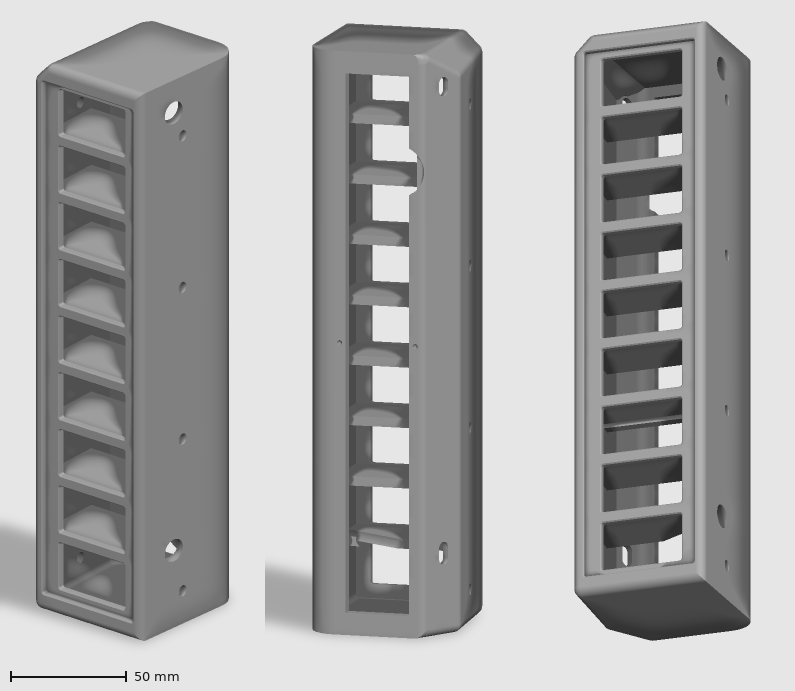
import cadquery as cq
import math

height = 256.0
depth = 67.3
right_x = 31.5
back_left_x = -21.2
knee_x = -32.5
knee_y = 14.3
front_left_x = -29.0
turn_angle = -0.9
edge_radius = 3.5
back_corner_radius = 12.8

wall = 4.9
slanted_wall = 3.0
inner_corner_radius = 6.0
floor_radius = 2.3

panel_center_x = 1.5
panel_thickness = 3.0
recess_width = 51.0
recess_height = 239.5
recess_depth = 3.0
rim_chamfer = 0.5
rim_corner_radius = 1.0
window_count = 9
window_span = 212.0
window_width = 37.0
window_height = 21.5
shelf_thickness = 4.0
shelf_end_y = 2.5

opening_width = 28.5
opening_center_x = -0.8
screw_diameter = 2.3
screw_spacing = 34.0
notch_radius = 11.3
notch_x = -10.2
notch_z = 76.5

side_hole_count = 4
side_hole_diameter = 5.0
side_hole_y = -5.5
side_hole_pitch = 71.0
side_hole_top_z = 100.0

slot_width = 5.5
upper_slot_z = 112.6
upper_slot_length = 8.5
lower_slot_z = -92.0
lower_slot_length = 10.0
slot_y = 23.0
driver_diameter = 10.2

front_y = -depth / 2
back_y = depth / 2
top_z = height / 2
bottom_z = -height / 2
panel_face_y = front_y + recess_depth
panel_back_y = panel_face_y + panel_thickness
window_pitch = window_span / (window_count - 1)
slant_length = math.hypot(back_left_x - knee_x, back_y - knee_y)
slant_dir_x = (back_left_x - knee_x) / slant_length
slant_dir_y = (back_y - knee_y) / slant_length
reach = 2 * depth
tolerance = 0.3


def sloped_prism(inset, slant_shift, corner_radius):
    """Housing prism shrunk by inset, with its 45 degree slope at the top left.

    slant_shift first moves the slanted rear-left wall outward, parallel to itself.
    """
    left_run_x = knee_x - front_left_x
    left_run_y = knee_y - front_y
    knee_travel = slant_shift / (slant_dir_x * left_run_y - slant_dir_y * left_run_x)
    outline = [
        (front_left_x, front_y),
        (right_x, front_y),
        (right_x, back_y),
        (back_left_x - slant_shift / slant_dir_y, back_y),
        (knee_x + knee_travel * left_run_x, knee_y + knee_travel * left_run_y),
    ]
    plan = cq.Workplane("XY", origin=(0, 0, bottom_z + inset)).polyline(outline).close()
    if inset > 0:
        plan = plan.offset2D(-inset, "intersection")
    prism = plan.extrude(height - 2 * inset)

    slope_z = top_z - inset * math.sqrt(2)
    above_slope = (
        cq.Workplane("XZ", origin=(0, reach, 0))
        .polyline([
            (back_left_x - reach, slope_z - reach),
            (back_left_x + reach, slope_z + reach),
            (back_left_x - reach, slope_z + reach),
        ])
        .close()
        .extrude(2 * reach)
    )
    prism = prism.cut(above_slope)
    return prism.edges("|Z").edges(">(1, 1, 0)").fillet(corner_radius)


def pick_edges(solid, wanted):
    """Edges of solid whose centre point passes the wanted test."""
    return solid.newObject([edge for edge in solid.edges().vals() if wanted(edge.Center())])


def is_rounded(center):
    """True for edges of the front and the left side, down to the rear-left upright edge."""
    on_front = center.y < front_y + tolerance
    on_left = center.x < back_left_x + tolerance
    across_bottom_or_top_of_back = center.y > back_y - tolerance and not on_left
    return on_front or (on_left and not across_bottom_or_top_of_back)


def outer_body():
    """Solid housing with its front and left edges rounded."""
    return pick_edges(sloped_prism(0, 0, back_corner_radius), is_rounded).fillet(edge_radius)


def inside_space():
    """Space behind the panel, with shelves reaching back from the bars between the windows."""
    space = sloped_prism(wall, wall - slanted_wall, inner_corner_radius)
    rear_left = space.edges("|Z").edges(">(-1, 1, 0)")
    space = rear_left.fillet(inner_corner_radius)
    space = space.faces("<Z").edges().fillet(floor_radius)

    panel_zone = cq.Workplane("XY").box(reach, reach, height)
    space = space.cut(panel_zone.translate((0, panel_back_y - reach / 2, 0)))

    shelf = cq.Workplane("XY").box(reach, reach, shelf_thickness)
    for i in range(window_count - 1):
        shelf_z = (i + 0.5) * window_pitch - window_span / 2
        space = space.cut(shelf.translate((0, shelf_end_y - reach / 2, shelf_z)))
    return space


def rounded_rectangle(width, tall, radius):
    return cq.Sketch().rect(width, tall).vertices().fillet(radius)


def rimmed_cut(width, tall, z, face_y, cut_depth):
    """Rectangular cut going back from face_y, with a chamfered rim and rounded corners."""
    hole = rounded_rectangle(width, tall, rim_corner_radius)
    rim = rounded_rectangle(
        width + 2 * rim_chamfer, tall + 2 * rim_chamfer, rim_corner_radius + rim_chamfer
    )
    face = cq.Workplane("XZ", origin=(panel_center_x, face_y, z))
    straight = face.placeSketch(hole).extrude(-cut_depth)
    return straight.union(face.placeSketch(rim).extrude(-rim_chamfer, taper=45))


def panel_cuts():
    """Shallow recess in the front and the windows through its floor."""
    cuts = rimmed_cut(recess_width, recess_height, 0, front_y, recess_depth)
    for i in range(window_count):
        window_z = i * window_pitch - window_span / 2
        cuts = cuts.union(
            rimmed_cut(window_width, window_height, window_z, panel_face_y, panel_thickness)
        )
    return cuts


def back_cuts():
    """Rear opening, the notch beside it and a screw hole on each side, through the back wall."""
    back_face = cq.Workplane("XZ", origin=(0, back_y, 0))
    opening_height = height - 4 * wall
    screws = [(opening_center_x + side * screw_spacing / 2, 0) for side in (-1, 1)]
    opening = back_face.center(opening_center_x, 0).rect(opening_width, opening_height).extrude(wall)
    notch = back_face.center(notch_x, notch_z).circle(notch_radius).extrude(wall)
    screw_holes = back_face.pushPoints(screws).circle(screw_diameter / 2).extrude(wall)
    return opening.union(notch).union(screw_holes)


def side_holes():
    """Column of cross holes through both side walls."""
    spots = [(side_hole_y, side_hole_top_z - i * side_hole_pitch) for i in range(side_hole_count)]
    return (
        cq.Workplane("YZ", origin=(-reach / 2, 0, 0))
        .pushPoints(spots)
        .circle(side_hole_diameter / 2)
        .extrude(reach)
    )


def mounting_cut(z, length):
    """Upright slot square to the slanted wall, and the driver hole through the right wall."""
    slot_x = knee_x + (slot_y - knee_y) * slant_dir_x / slant_dir_y
    wall_face = cq.Workplane(cq.Plane(
        origin=(slot_x, slot_y, z),
        xDir=(slant_dir_x, slant_dir_y, 0),
        normal=(slant_dir_y, -slant_dir_x, 0),
    ))
    slot = wall_face.workplane(offset=-wall).slot2D(length, slot_width, 90).extrude(2 * wall)
    driver = wall_face.workplane(offset=slanted_wall).circle(driver_diameter / 2).extrude(reach)
    return slot.union(driver)


housing = outer_body().cut(inside_space())
housing = housing.cut(panel_cuts())
housing = housing.cut(back_cuts())
housing = housing.cut(side_holes())
housing = housing.cut(mounting_cut(upper_slot_z, upper_slot_length))
housing = housing.cut(mounting_cut(lower_slot_z, lower_slot_length))

result = housing.rotate((0, 0, 0), (0, 0, 1), turn_angle)